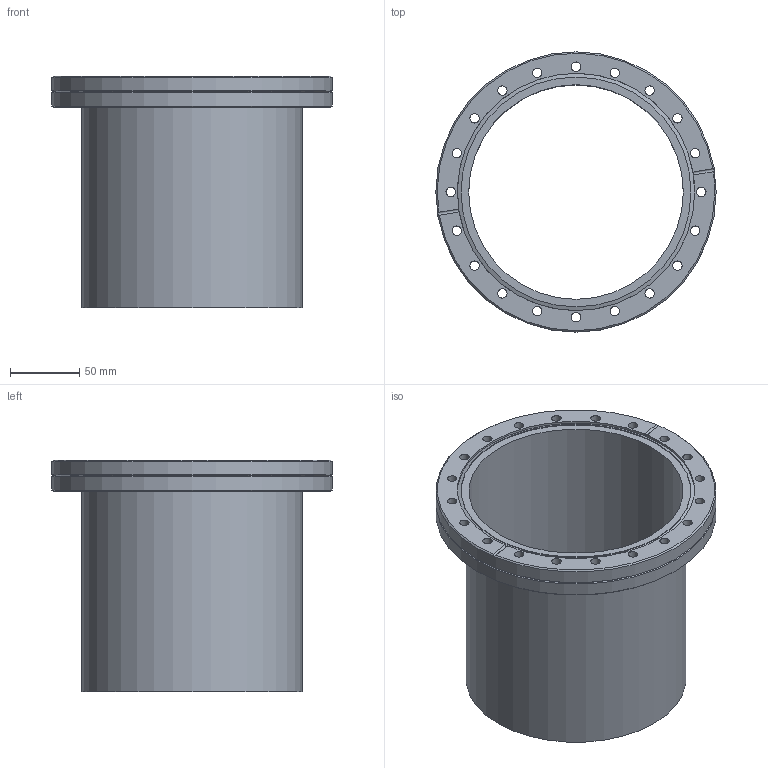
import cadquery as cq
import math

flange_diameter = 202.4
flange_thickness = 22.4
total_height = 167.0
tube_outer_diameter = 159.0
bore_diameter = 155.0

rim_chamfer_width = 1.0
rim_chamfer_height = 1.0
rim_groove_depth = 0.7
rim_groove_width = 1.3

recess_radius = 85.7
knife_radius = 83.0
knife_depth = 0.7
land_depth = 1.2
knife_slope = 20.0

bolt_count = 20
bolt_circle_radius = 90.5
bolt_hole_diameter = 6.8

leak_groove_count = 2
leak_groove_width = 2.2
leak_groove_depth = 0.8
leak_groove_angle = 180 / bolt_count

flange_radius = flange_diameter / 2
recess_depth = knife_depth + (recess_radius - knife_radius) * math.tan(math.radians(knife_slope))
tube_radius = tube_outer_diameter / 2
bore_radius = bore_diameter / 2
flange_bottom = total_height - flange_thickness
flange_middle = total_height - flange_thickness / 2
rim_edge_radius = flange_radius - rim_chamfer_width


def make_body():
    """Revolve the half section of tube, flange, rim groove and knife edge."""
    section = [
        (bore_radius, 0),
        (tube_radius, 0),
        (tube_radius, flange_bottom),
        (rim_edge_radius, flange_bottom),
        (flange_radius, flange_bottom + rim_chamfer_height),
        (flange_radius, flange_middle - rim_groove_width / 2),
        (flange_radius - rim_groove_depth, flange_middle),
        (flange_radius, flange_middle + rim_groove_width / 2),
        (flange_radius, total_height - rim_chamfer_height),
        (rim_edge_radius, total_height),
        (recess_radius, total_height),
        (recess_radius, total_height - recess_depth),
        (knife_radius, total_height - knife_depth),
        (knife_radius, total_height - land_depth),
        (bore_radius, total_height - land_depth),
    ]
    return cq.Workplane("XZ").polyline(section).close().revolve(360, (0, 0, 0), (0, 1, 0))


def make_bolt_holes():
    """Through holes evenly spaced on the bolt circle."""
    return (
        cq.Workplane("XY", origin=(0, 0, flange_bottom))
        .polarArray(bolt_circle_radius, 0, 360, bolt_count)
        .circle(bolt_hole_diameter / 2)
        .extrude(flange_thickness)
    )


def make_leak_groove(angle):
    """Radial round-bottomed groove from the knife-edge recess out through the rim."""
    groove_radius = (leak_groove_width**2 / 4 + leak_groove_depth**2) / (2 * leak_groove_depth)
    axis_height = total_height - leak_groove_depth + groove_radius
    start = (recess_radius + knife_radius) / 2
    return (
        cq.Workplane("YZ", origin=(start, 0, axis_height))
        .circle(groove_radius)
        .extrude(flange_radius)
        .rotate((0, 0, 0), (0, 0, 1), angle)
    )


result = make_body().cut(make_bolt_holes())
for index in range(leak_groove_count):
    result = result.cut(make_leak_groove(leak_groove_angle + index * 360 / leak_groove_count))